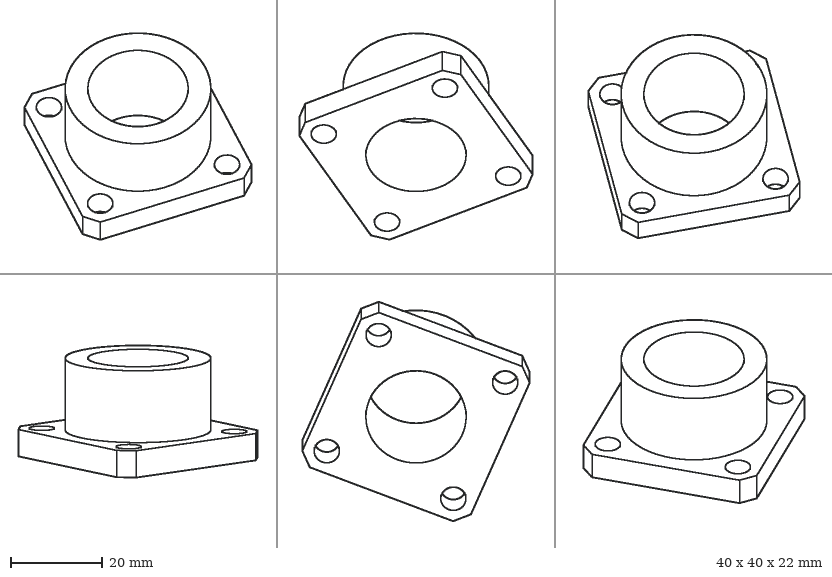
import cadquery as cq

flange_side = 40.0
flange_thickness = 6.0
corner_chamfer = 3.0

total_height = 22.0
collar_diameter = 32.0
bore_diameter = 22.0

hole_diameter = 5.5
hole_spacing = 30.0


def make_flange():
    """Square plate with bevelled vertical corners, resting on Z = 0."""
    plate = cq.Workplane("XY").box(
        flange_side, flange_side, flange_thickness, centered=(True, True, False)
    )
    return plate.edges("|Z").chamfer(corner_chamfer)


def make_collar():
    """Cylinder running from the flange underside to the full height."""
    return cq.Workplane("XY").circle(collar_diameter / 2).extrude(total_height)


def make_bore():
    """Central through bore."""
    return cq.Workplane("XY").circle(bore_diameter / 2).extrude(total_height)


def make_mounting_holes():
    """Four through holes, one near each flange corner."""
    return (
        cq.Workplane("XY")
        .rect(hole_spacing, hole_spacing, forConstruction=True)
        .vertices()
        .circle(hole_diameter / 2)
        .extrude(flange_thickness)
    )


body = make_flange().union(make_collar())
result = body.cut(make_bore()).cut(make_mounting_holes())